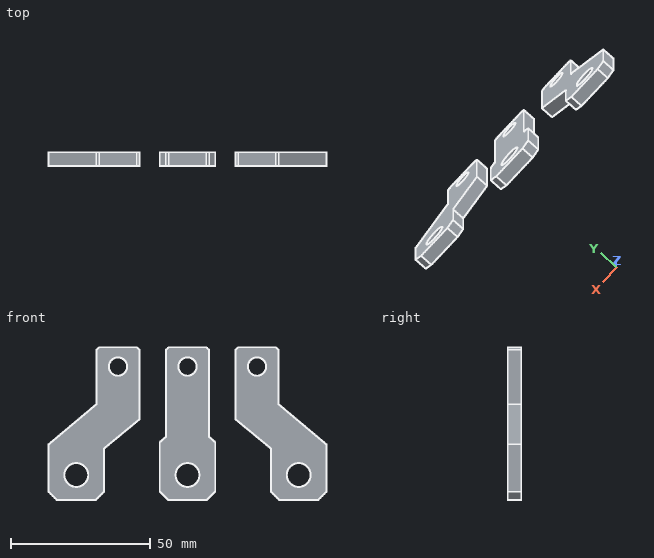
import cadquery as cq

thickness = 5.0
height = 55.0
foot_width = 20.0
head_width = 15.5
foot_chamfer = 3.0
head_chamfer = 1.0

foot_hole_diameter = 8.5
foot_hole_height = 9.0
head_hole_diameter = 6.5
head_hole_height = 48.0

shoulder_bottom = 20.8
shoulder_top = 22.8

foot_spacing = 40.0
head_offset = 15.0
outer_slope_bottom = 20.0
outer_slope_top = 34.5
inner_slope_bottom = 18.5
inner_slope_top = 29.0


def plate_sketch_plane():
    """Back face of the plates; extruding by the thickness centres them on Y = 0."""
    return cq.Workplane("XZ").workplane(offset=-thickness / 2)


def make_link(head_x, left_bend, right_bend):
    """Plate with its foot centred on X = 0 and its head on head_x.

    Each bend gives the heights where that side leaves the foot and meets the head.
    """
    foot_half = foot_width / 2
    head_left = head_x - head_width / 2
    head_right = head_x + head_width / 2
    outline = [
        (-foot_half + foot_chamfer, 0),
        (foot_half - foot_chamfer, 0),
        (foot_half, foot_chamfer),
        (foot_half, right_bend[0]),
        (head_right, right_bend[1]),
        (head_right, height - head_chamfer),
        (head_right - head_chamfer, height),
        (head_left + head_chamfer, height),
        (head_left, height - head_chamfer),
        (head_left, left_bend[1]),
        (-foot_half, left_bend[0]),
        (-foot_half, foot_chamfer),
    ]
    plate = plate_sketch_plane().polyline(outline).close().extrude(thickness)
    foot_hole = make_hole_cutter(0, foot_hole_height, foot_hole_diameter)
    head_hole = make_hole_cutter(head_x, head_hole_height, head_hole_diameter)
    return plate.cut(foot_hole).cut(head_hole)


def make_hole_cutter(x, z, diameter):
    """Cylinder along Y that passes through the full plate thickness."""
    return plate_sketch_plane().center(x, z).circle(diameter / 2).extrude(thickness)


def make_straight_link():
    shoulder = (shoulder_bottom, shoulder_top)
    return make_link(0, shoulder, shoulder)


def make_cranked_link(side):
    """Link whose head leans toward the middle; side is -1 for left, +1 for right."""
    outer_bend = (outer_slope_bottom, outer_slope_top)
    inner_bend = (inner_slope_bottom, inner_slope_top)
    if side < 0:
        link = make_link(head_offset, outer_bend, inner_bend)
    else:
        link = make_link(-head_offset, inner_bend, outer_bend)
    return link.translate((side * foot_spacing, 0, 0))


straight_link = make_straight_link()
cranked_links = [make_cranked_link(side) for side in (-1, 1)]

result = cq.Compound.makeCompound([straight_link.val(), *[link.val() for link in cranked_links]])